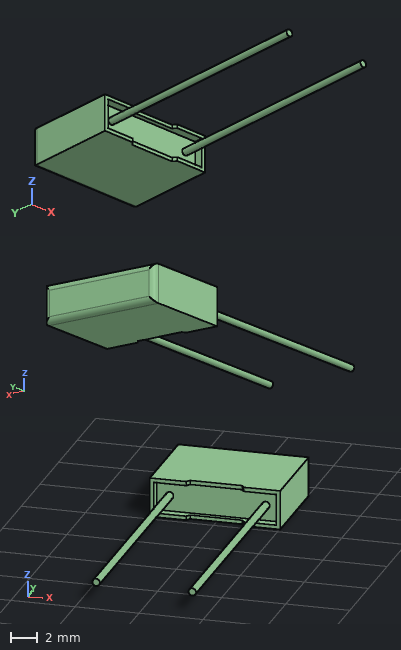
import cadquery as cq

total_length = 27.1
case_width = 10.2
case_depth = 8.1
case_height = 3.1

wall = 0.33
back_edge_radius = 0.51
notch_depth = 0.33
notch_mouth_width = 4.5
notch_floor_width = 4.06

fill_recess = 0.75
lead_diameter = 0.6
lead_pitch = 7.5

cavity_width = case_width - 2 * wall
cavity_height = case_height - 2 * wall
cavity_depth = case_depth - wall
lead_length = total_length - case_depth + fill_recess


def box_from_y(width, height, y_start, y_end):
    """Box centred on X and Z, spanning Y from y_start to y_end."""
    return cq.Workplane("XY").box(width, y_end - y_start, height).translate((0, (y_start + y_end) / 2, 0))


def make_notch():
    """Shallow trapezoid cut through both broad walls at the open face."""
    half_mouth = notch_mouth_width / 2
    half_floor = notch_floor_width / 2
    return (
        cq.Workplane("XY")
        .moveTo(-half_mouth, 0)
        .lineTo(-half_floor, notch_depth)
        .lineTo(half_floor, notch_depth)
        .lineTo(half_mouth, 0)
        .close()
        .extrude(case_height / 2, both=True)
    )


def make_case():
    """Open box with rounded back edges and notched mouth."""
    case = box_from_y(case_width, case_height, 0, case_depth)
    case = case.faces(">Y").edges().fillet(back_edge_radius)
    case = case.cut(box_from_y(cavity_width, cavity_height, 0, cavity_depth))
    return case.cut(make_notch())


def make_fill():
    """Block that fills the cavity, its front face set back from the mouth."""
    return box_from_y(cavity_width, cavity_height, fill_recess, cavity_depth)


def make_lead(x):
    """Round wire that starts on the front face of the fill."""
    return (
        cq.Workplane("XZ", origin=(x, fill_recess, 0))
        .circle(lead_diameter / 2)
        .extrude(lead_length)
    )


case = make_case()
fill = make_fill()
leads = [make_lead(side * lead_pitch / 2) for side in (-1, 1)]

result = cq.Compound.makeCompound([case.val(), fill.val(), *[lead.val() for lead in leads]])